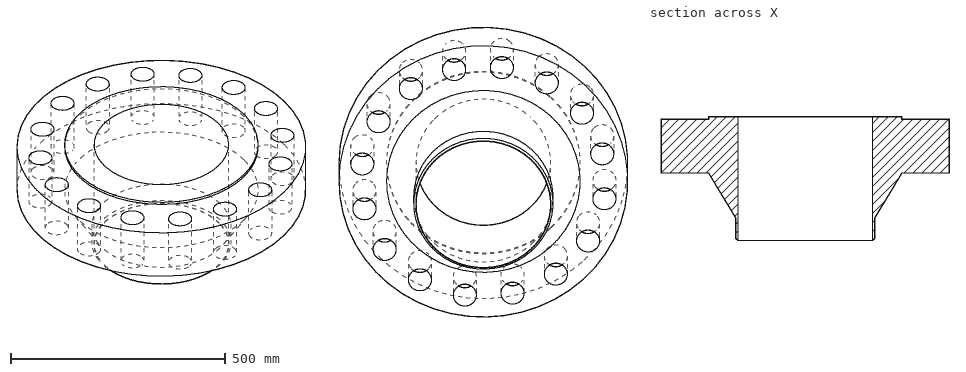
import cadquery as cq

flange_diameter = 673.0
total_height = 289.0

face_diameter = 451.0
face_height = 6.0

flange_thickness = 126.0
hub_diameter = 451.0
neck_diameter = 324.5
neck_height = 52.5
bevel_width = 5.0
bevel_height = 5.0
bore_diameter = 313.0

bolt_count = 16
bolt_circle_diameter = 571.0
bolt_hole_diameter = 54.0
bolt_pitch_angle = 360 / bolt_count

flange_top = total_height - face_height
flange_bottom = flange_top - flange_thickness


def make_body():
    """Revolve the half section of the flange, hub and neck about Z."""
    bore_radius = bore_diameter / 2
    neck_radius = neck_diameter / 2
    section = [
        (bore_radius, 0),
        (neck_radius - bevel_width, 0),
        (neck_radius, bevel_height),
        (neck_radius, neck_height),
        (hub_diameter / 2, flange_bottom),
        (flange_diameter / 2, flange_bottom),
        (flange_diameter / 2, flange_top),
        (face_diameter / 2, flange_top),
        (face_diameter / 2, total_height),
        (bore_radius, total_height),
    ]
    return cq.Workplane("XZ").polyline(section).close().revolve(360, (0, 0), (0, 1))


def make_bolt_holes():
    """Cylinders that pass through the flange disc at every bolt position."""
    return (
        cq.Workplane("XY")
        .workplane(offset=flange_bottom)
        .polarArray(bolt_circle_diameter / 2, bolt_pitch_angle / 2, 360, bolt_count)
        .circle(bolt_hole_diameter / 2)
        .extrude(flange_thickness)
    )


result = make_body().cut(make_bolt_holes())